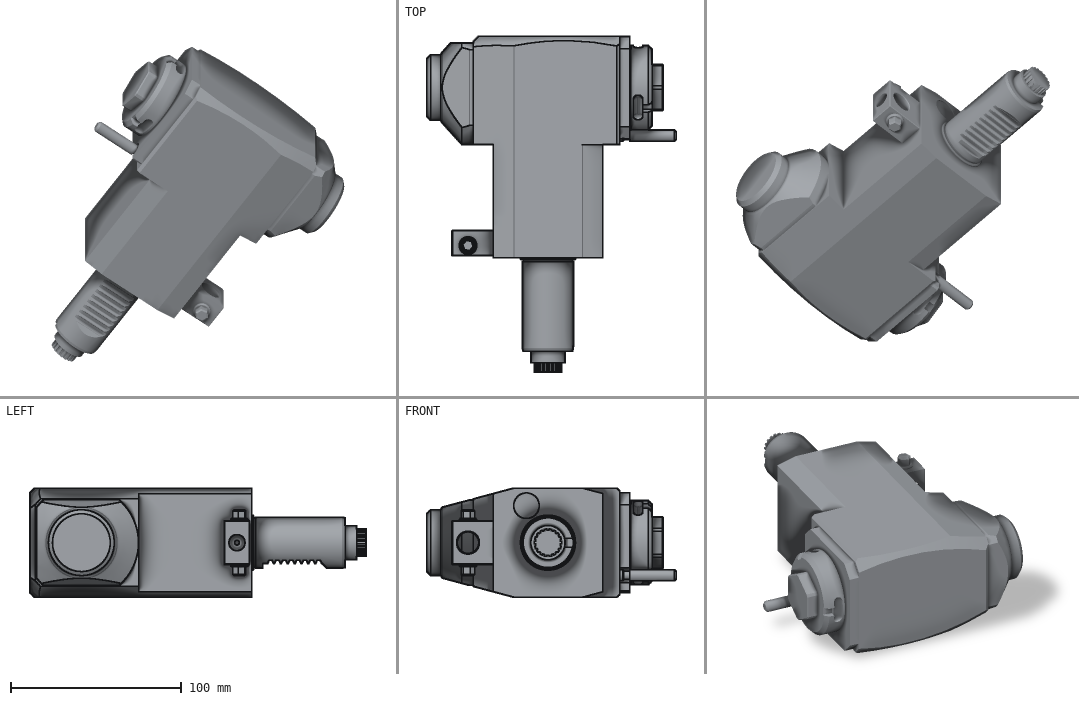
import cadquery as cq
import math


housing_height = 64.0
half_height = housing_height / 2
stem_half_width = 32.1
stem_length = 66.4
back_y = 130.0
head_left = -43.7
head_right = 42.2
ridge_x = 20.0
ramp_slope = math.tan(math.radians(15))
back_corner_chamfer = 3.2
right_edge_chamfer = 1.8
back_cone_radius = 143.8
back_cone_center_x = 9.8
back_cone_crest_z = 29.4
plug_x = -12.6
plug_z = 21.7
plug_radius = 7.5
plug_depth = 0.5

spindle_y = 99.9
flange_radius = 33.5
flange_left = -50.5
flange_back_y = 126.0
flange_step_x = -46.0
cone_left = -61.9
cone_small_radius = 20.9
cap_right = -62.8
cap_left = -71.1
cap_radius = 19.3
cap_chamfer = 2.4

plate_right = 48.0
plate_half_width = 30.0
plate_half_height = 29.4
plate_corner = 7.0
plate_pin_corner = 1.2
nut_neck_radius = 22.7
nut_left = 48.7
nut_right = 61.0
nut_radius = 24.8
nut_chamfer = 2.4
slot_count = 3
first_slot_angle = 30
slot_x = 52.8
slot_width = 5.5
slot_length = 16.5
slot_floor_radius = 21.0
slot_floor_fillet = 2.4
notch_width = 5.1
hex_right = 67.5
hex_turn = 30
hex_inradius = 13.5
hex_corner_radius = 15.2
hex_chamfer = 0.5

pin_y = 71.7
pin_z = -19.1
pin_radius = 3.3
pin_right = 75.3
pin_chamfer = 1.2
pin_neck_radius = 2.4
pin_foot_length = 2.4
pin_foot_chamfer = 0.8
pin_clearance_radius = 4.7

collar_radius = 16.2
collar_length = 1.2
collar_chamfer = 0.5
relief_radius = 14.5
relief_end = 2.4
shank_radius = 15.0
shank_end = 54.8
shank_chamfer_length = 1.5
shank_chamfer = 0.4
neck_radius = 10.0
neck_end = 61.5
spline_radius = 8.0
spline_root_radius = 7.3
spline_end = 67.0
spline_teeth = 18
key_floor_x = 9.8
key_width = 5.1
key_length = 3.0

rack_start = 6.5
rack_flat_z = -12.2
rack_root_z = -10.5
rack_first_groove = 11.0
rack_last_groove = 39.2
rack_groove_count = 8
rack_pitch = (rack_last_groove - rack_first_groove) / (rack_groove_count - 1)
rack_groove_top = 3.5
rack_groove_bottom = 1.8

block_left = -56.3
block_front = 1.2
block_back = 16.2
block_half_height = 12.8
block_chamfer = 0.4
screw_x = -46.9
screw_y = 7.3
screw_flange_radius = 5.1
screw_flange_height = 1.4
screw_hex_inradius = 3.5
screw_hex_turn = -10
screw_top_z = 19.3
screw_top_chamfer = 0.8
block_bore_radius = 6.3
block_bore_chamfer = 0.4
side_bore_radius = 4.7
side_bore_y = (block_front + block_back) / 2
nozzle_radius = 1.4


def box(x_range, y_range, z_range):
    size = [r[1] - r[0] for r in (x_range, y_range, z_range)]
    corner = (x_range[0], y_range[0], z_range[0])
    return cq.Workplane("XY").box(*size, centered=False).translate(corner)


def x_cylinder(radius, x_start, x_end, y, z=0):
    return cq.Workplane("YZ", origin=(x_start, y, z)).circle(radius).extrude(x_end - x_start)


def y_cylinder(radius, y_start, y_end, x=0, z=0):
    return cq.Workplane("XZ", origin=(x, y_start, z)).circle(radius).extrude(y_start - y_end)


def hexagon(workplane, inradius, height):
    return workplane.polygon(6, 2 * inradius / math.cos(math.pi / 6)).extrude(height)


def ramp_z(x):
    """Half height of the tapered outline outboard of the ridge."""
    return half_height - ramp_slope * (abs(x) - ridge_x)


def make_stem():
    edge_z = ramp_z(stem_half_width)
    profile = [(ridge_x, half_height), (stem_half_width, edge_z)]
    profile += [(x, -z) for x, z in reversed(profile)]
    profile += [(-x, -z) for x, z in profile]
    return cq.Workplane("XZ").polyline(profile).close().extrude(-stem_length)


def back_cone(side):
    """45 degree cone whose rim rounds off one back edge of the head."""
    length = back_y - stem_length
    axis_z = side * (back_cone_crest_z - back_cone_radius)
    cone = cq.Solid.makeCone(
        back_cone_radius,
        back_cone_radius + length,
        length,
        pnt=cq.Vector(back_cone_center_x, back_y, axis_z),
        dir=cq.Vector(0, -1, 0),
    )
    return cq.Workplane(cone)


def make_head():
    edge_z = ramp_z(head_left)
    corner_x = head_right - right_edge_chamfer
    corner_z = half_height - right_edge_chamfer
    upper = [
        (head_left, edge_z),
        (-ridge_x, half_height),
        (corner_x, half_height),
        (head_right, corner_z),
    ]
    profile = upper + [(x, -z) for x, z in reversed(upper)]
    head = (
        cq.Workplane("XZ", origin=(0, stem_length, 0))
        .polyline(profile).close().extrude(stem_length - back_y)
    )
    head = head.edges("|Z and >Y and <X").chamfer(back_corner_chamfer)
    for side in (1, -1):
        head = head.intersect(back_cone(side))
    return head


def make_left_end():
    turned = (
        cq.Workplane("XY")
        .moveTo(head_left, 0)
        .lineTo(head_left, flange_radius)
        .lineTo(flange_left, flange_radius)
        .lineTo(cone_left, cone_small_radius)
        .tangentArcPoint((cap_right, cap_radius), relative=False)
        .lineTo(cap_right, 0)
        .close()
        .revolve(360, (0, 0, 0), (1, 0, 0))
    )
    turned = turned.translate((0, spindle_y, 0))
    cap = x_cylinder(cap_radius, cap_left, cap_right, spindle_y)
    cap = cap.faces("<X").edges().chamfer(cap_chamfer)
    envelope_upper = [
        (cap_right, ramp_z(cap_right)),
        (flange_step_x, ramp_z(flange_step_x)),
        (head_left, ramp_z(flange_step_x)),
    ]
    envelope_outline = envelope_upper + [(x, -z) for x, z in reversed(envelope_upper)]
    envelope = cq.Workplane("XZ").polyline(envelope_outline).close().extrude(-flange_back_y)
    return turned.intersect(envelope).union(cap)


def make_plate():
    plate = box(
        (head_right, plate_right),
        (spindle_y - plate_half_width, spindle_y + plate_half_width),
        (-plate_half_height, plate_half_height),
    )
    plate = plate.edges("|X and (>Y or >Z)").chamfer(plate_corner)
    plate = plate.edges("|X and <Y and <Z").chamfer(plate_pin_corner)
    return plate.cut(x_cylinder(pin_clearance_radius, head_right, plate_right, pin_y, pin_z))


def make_nut():
    nut = x_cylinder(nut_radius, nut_left, nut_right, spindle_y)
    nut = nut.faces(">X").edges().chamfer(nut_chamfer)
    pocket = (
        cq.Workplane("XY", origin=(slot_x, 0, slot_floor_radius))
        .slot2D(slot_length, slot_width, 90).extrude(nut_radius)
    )
    pocket = pocket.faces("<Z").edges().fillet(slot_floor_fillet)
    notch = box(
        (slot_x + slot_width / 2, nut_right),
        (-notch_width / 2, notch_width / 2),
        (slot_floor_radius, nut_radius),
    )
    cutter = pocket.union(notch)
    for i in range(slot_count):
        angle = first_slot_angle + i * 360 / slot_count
        turned_cutter = cutter.rotate((0, 0, 0), (1, 0, 0), angle)
        nut = nut.cut(turned_cutter.translate((0, spindle_y, 0)))
    return nut.union(x_cylinder(nut_neck_radius, plate_right, nut_left, spindle_y))


def make_drive_hex():
    plane = cq.Workplane("YZ", origin=(nut_right, spindle_y, 0)).transformed(rotate=(0, 0, hex_turn))
    drive = hexagon(plane, hex_inradius, hex_right - nut_right)
    drive = drive.intersect(x_cylinder(hex_corner_radius, nut_right, hex_right, spindle_y))
    return drive.faces(">X").edges().chamfer(hex_chamfer)


def make_pin():
    neck = x_cylinder(pin_neck_radius, head_right, plate_right, pin_y, pin_z)
    pin = x_cylinder(pin_radius, plate_right, pin_right, pin_y, pin_z)
    foot = x_cylinder(pin_radius, head_right, head_right + pin_foot_length, pin_y, pin_z)
    neck = neck.union(foot.faces(">X").edges().chamfer(pin_foot_chamfer))
    return neck.union(pin.faces(">X").edges().chamfer(pin_chamfer))


def make_shank():
    outline = [
        (0, 0),
        (collar_radius, 0),
        (collar_radius, collar_chamfer - collar_length),
        (collar_radius - collar_chamfer, -collar_length),
        (relief_radius, -collar_length),
        (relief_radius, -relief_end),
        (shank_radius, -relief_end),
        (shank_radius, shank_chamfer_length - shank_end),
        (shank_radius - shank_chamfer, -shank_end),
        (neck_radius, -shank_end),
        (neck_radius, -neck_end),
        (spline_root_radius, -neck_end),
        (spline_root_radius, -spline_end),
        (0, -spline_end),
    ]
    shank = cq.Workplane("XY").polyline(outline).close().revolve(360, (0, 0, 0), (0, 1, 0))
    key_slot = box(
        (key_floor_x, shank_radius),
        (-shank_end, key_length - shank_end),
        (-key_width / 2, key_width / 2),
    )
    return shank.cut(key_slot).cut(make_rack_cutter()).union(make_spline())


def make_spline():
    tooth_width = math.pi * spline_radius / spline_teeth
    tooth = box(
        (spline_root_radius / 2, spline_radius),
        (-spline_end, -neck_end),
        (-tooth_width / 2, tooth_width / 2),
    )
    spline = y_cylinder(spline_root_radius, -neck_end, -spline_end)
    for i in range(spline_teeth):
        spline = spline.union(tooth.rotate((0, 0, 0), (0, 1, 0), i * 360 / spline_teeth))
    return spline


def make_rack_cutter():
    """Flat under the shank with trapezoid grooves and a 45 degree run-out."""
    floor_z = -collar_radius
    rack_end = rack_last_groove + rack_pitch / 2
    outline = [
        (-rack_start, floor_z),
        (-rack_start, rack_flat_z),
        (-rack_end, rack_flat_z),
        (floor_z - rack_flat_z - rack_end, floor_z),
    ]
    flat = cq.Workplane("YZ").polyline(outline).close().extrude(shank_radius, both=True)
    groove_outline = [
        (-rack_groove_top / 2, rack_flat_z),
        (-rack_groove_bottom / 2, rack_root_z),
        (rack_groove_bottom / 2, rack_root_z),
        (rack_groove_top / 2, rack_flat_z),
    ]
    groove = cq.Workplane("YZ").polyline(groove_outline).close().extrude(shank_radius, both=True)
    for i in range(rack_groove_count):
        flat = flat.union(groove.translate((0, -rack_first_groove - i * rack_pitch, 0)))
    return flat


def make_screw():
    seat = cq.Workplane("XY", origin=(screw_x, screw_y, block_half_height))
    flange = seat.circle(screw_flange_radius).extrude(screw_flange_height)
    flange = flange.faces(">Z").edges().chamfer(screw_flange_height / 2)
    turned_seat = seat.transformed(rotate=(0, 0, screw_hex_turn))
    head = hexagon(turned_seat, screw_hex_inradius, screw_top_z - block_half_height)
    return flange.union(head.faces(">Z").chamfer(screw_top_chamfer))


def make_coolant_block():
    block = box(
        (block_left, -stem_half_width),
        (block_front, block_back),
        (-block_half_height, block_half_height),
    )
    block = block.faces("<X or <Y").edges("not >X").chamfer(block_chamfer)
    block = block.cut(y_cylinder(block_bore_radius, block_back, block_front, screw_x))
    block = block.faces("<Y").edges("%CIRCLE").chamfer(block_bore_chamfer)
    block = block.cut(x_cylinder(side_bore_radius, block_left, screw_x, side_bore_y))
    block = block.cut(x_cylinder(nozzle_radius, screw_x, -stem_half_width, side_bore_y))
    screw = make_screw()
    return block.union(screw).union(screw.mirror("XY"))


result = make_stem().union(make_head())
result = result.cut(y_cylinder(plug_radius, plug_depth, 0, plug_x, plug_z))
for piece in (
    make_left_end(),
    make_plate(),
    make_nut(),
    make_drive_hex(),
    make_pin(),
    make_shank(),
    make_coolant_block(),
):
    result = result.union(piece)